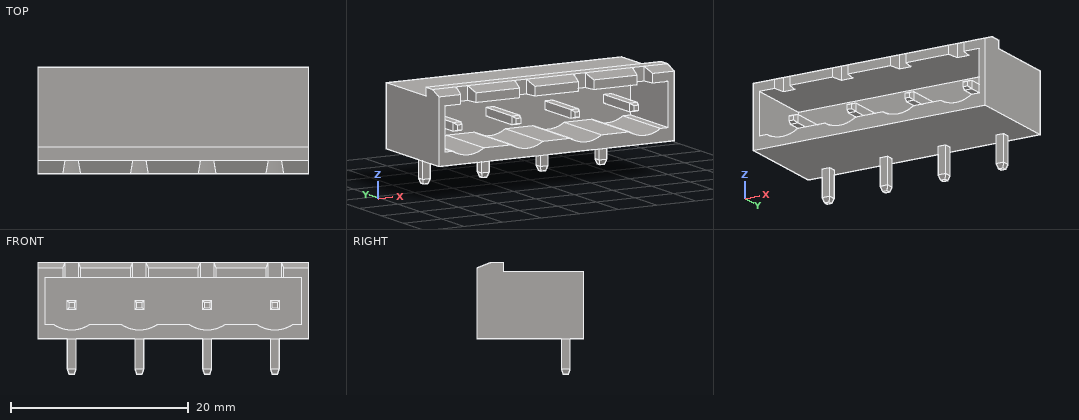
import cadquery as cq
import math

contact_count = 4
pitch = 7.62
pin_width = 1.0
pin_axis_z = 3.8
pin_leg_y = 10.0
pin_front_y = 2.0
pin_drop = 4.0
tip_length = 0.6
tip_width = 0.6

housing_length = contact_count * pitch
housing_depth = 12.0
housing_height = 7.6
ridge_height = 8.6
ridge_depth = 3.0
chamfer_depth = 1.5
chamfer_drop = 0.6

side_wall = 0.8
cavity_floor_z = 1.6
cavity_top_z = 6.9
cavity_depth = 8.5
scallop_width = 4.0
scallop_drop = 0.6

notch_front_width = 2.0
notch_back_width = 1.5
notch_depth = chamfer_depth

contact_positions = [(i + 0.5) * pitch for i in range(contact_count)]


def make_housing():
    """Side profile with the chamfered ridge, extruded along X."""
    profile = [
        (0, 0),
        (housing_depth, 0),
        (housing_depth, housing_height),
        (ridge_depth, housing_height),
        (ridge_depth, ridge_height),
        (chamfer_depth, ridge_height),
        (0, ridge_height - chamfer_drop),
    ]
    return cq.Workplane("YZ").polyline(profile).close().extrude(housing_length)


def make_cavity():
    """Rectangular pocket, open at the mating face, with a rounded floor groove under each contact."""
    cavity = cq.Workplane("XY").box(
        housing_length - 2 * side_wall,
        cavity_depth,
        cavity_top_z - cavity_floor_z,
        centered=False,
    ).translate((side_wall, 0, cavity_floor_z))
    for x in contact_positions:
        scallop = (
            cq.Workplane("XZ")
            .moveTo(x - scallop_width / 2, cavity_floor_z)
            .threePointArc(
                (x, cavity_floor_z - scallop_drop),
                (x + scallop_width / 2, cavity_floor_z),
            )
            .close()
            .extrude(-cavity_depth)
        )
        cavity = cavity.union(scallop)
    return cavity


def make_notch(x):
    """Notch in the ridge, narrowing towards the back, from the cavity up through the top."""
    outline = [
        (x - notch_front_width / 2, 0),
        (x + notch_front_width / 2, 0),
        (x + notch_back_width / 2, notch_depth),
        (x - notch_back_width / 2, notch_depth),
    ]
    return (
        cq.Workplane("XY")
        .workplane(offset=cavity_top_z)
        .polyline(outline)
        .close()
        .extrude(ridge_height - cavity_top_z)
    )


def make_leg(base, direction, length):
    """Square leg from base along direction, ending in a tapered tip."""
    shank_length = length - tip_length
    plane = cq.Plane(origin=base, xDir=(1, 0, 0), normal=direction)
    shank = cq.Workplane(plane).rect(pin_width, pin_width).extrude(shank_length)
    taper = math.degrees(math.atan((pin_width - tip_width) / 2 / tip_length))
    tip = (
        cq.Workplane(plane)
        .workplane(offset=shank_length)
        .rect(pin_width, pin_width)
        .extrude(tip_length, taper=taper)
    )
    return shank.union(tip)


def make_contact(x):
    """Right-angle contact: one leg into the cavity, one solder leg below the housing."""
    mating_base = (x, pin_leg_y + pin_width / 2, pin_axis_z)
    mating_length = pin_leg_y + pin_width / 2 - pin_front_y
    mating_leg = make_leg(mating_base, (0, -1, 0), mating_length)
    solder_base = (x, pin_leg_y, pin_axis_z)
    solder_leg = make_leg(solder_base, (0, 0, -1), pin_axis_z + pin_drop)
    return mating_leg.union(solder_leg)


result = make_housing().cut(make_cavity())
for contact_x in contact_positions:
    result = result.cut(make_notch(contact_x))
    result = result.union(make_contact(contact_x))